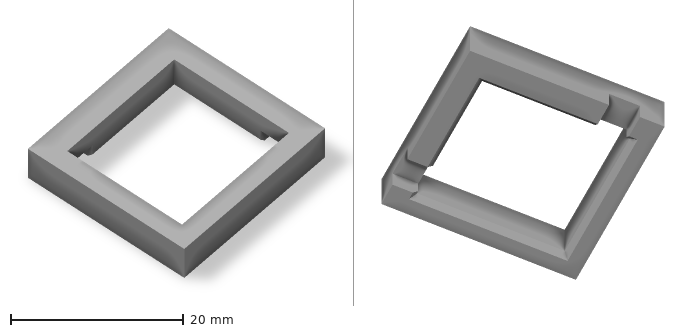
import cadquery as cq

length_x = 24.0
length_y = 25.0
height = 5.0

wall_left = 3.7
wall_right = 2.7
wall_front = 2.72
wall_back = 3.3
opening_x = length_x - wall_left - wall_right
opening_y = length_y - wall_front - wall_back

bevel_height = 0.7
bevel_width = bevel_height

notch_height = 2.25
left_notch_start = 3.15
notch_width = 4.0
back_notch_corner_gap = 0.32


def corner_box(x, y, size_x, size_y, size_z):
    """Box standing on the base plane with its lowest corner at (x, y)."""
    return cq.Workplane("XY").box(size_x, size_y, size_z, centered=False).translate((x, y, 0))


def bevelled_opening():
    """Rectangular through opening that widens towards the bottom."""
    opening = corner_box(wall_left, wall_front, opening_x, opening_y, height)
    bevel = (
        cq.Workplane("XY")
        .center(wall_left + opening_x / 2, wall_front + opening_y / 2)
        .rect(opening_x + 2 * bevel_width, opening_y + 2 * bevel_width)
        .workplane(offset=bevel_height)
        .rect(opening_x, opening_y)
        .loft(ruled=True)
    )
    return opening.union(bevel)


left_notch = corner_box(0, left_notch_start, wall_left, notch_width, notch_height)

back_notch_end = length_x - wall_right - back_notch_corner_gap
back_notch = corner_box(
    back_notch_end - notch_width,
    length_y - wall_back,
    notch_width,
    wall_back,
    notch_height,
)

frame = corner_box(0, 0, length_x, length_y, height)
result = frame.cut(bevelled_opening()).cut(left_notch).cut(back_notch)